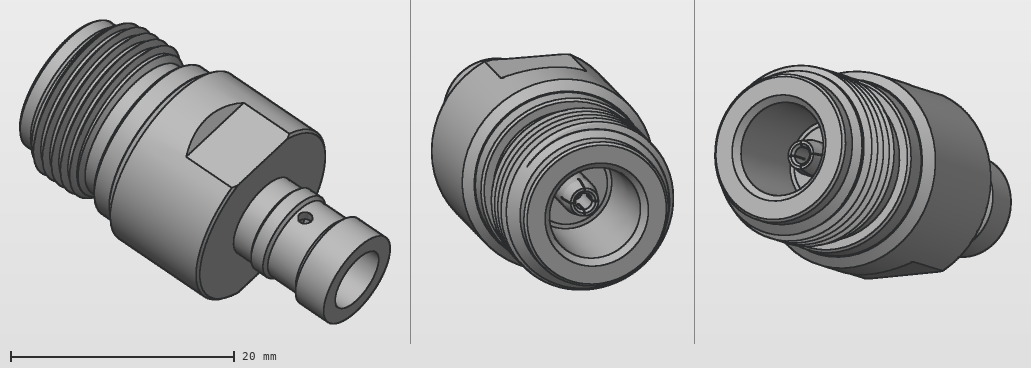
import cadquery as cq
import math


LENGTH = 34.05
PILOT_END = 1.45
THREAD_END = 8.0
FLANGE_START = 9.75
SHOULDER_START = 11.82
BODY_END = 23.0
RING_START = 25.07
RING_LAND_START = 25.3
RING_LAND_END = 26.7
RING_END = 27.0
COLLAR_RAMP_START = 30.28
COLLAR_START = 30.75

PILOT_R = 6.7
THREAD_ROOT_R = 7.32
THREAD_CREST_R = 7.95
NECK_R = 6.88
FLANGE_R = 7.95
SHOULDER_R = 8.05
BODY_R = 17.8 / 2
TAIL_R = 4.02
RING_R = 4.33
COLLAR_R = 4.6
EDGE_CHAMFER = 0.25

THREAD_PITCH = 1.05
THREAD_TURNS = 7
THREAD_TOP_CREST = 1.53
THREAD_START = THREAD_TOP_CREST - THREAD_PITCH / 2
FLANK_HALF_ANGLE = 30.0
RIDGE_EMBED = 0.15
ENVELOPE_CLEARANCE = 0.15

FLAT_HEIGHT = 7.97
FLAT_START = 17.4

MOUTH_R = 4.8
BORE_FRONT_R = 4.22
BORE_FLOOR_R = 3.95
MOUTH_DEPTH = MOUTH_R - BORE_FRONT_R
BORE_FLOOR = 9.03

REAR_BORE_R = 3.0
REAR_BORE_DEPTH = 8.5
SIDE_HOLE_R = 0.65
SIDE_HOLE_X = 28.0

INSULATOR_R = 3.55
INSULATOR_LENGTH = 6.8
INSULATOR_END = BORE_FLOOR + INSULATOR_LENGTH

CONTACT_R = 3.17 / 2
CONTACT_TIP_R = 1.3
CONTACT_TIP_X = 4.0
CONTACT_TAPER_END = 5.45
CONTACT_HOLE_R = 1.53 / 2
CONTACT_HOLE_MOUTH_R = 1.02
CONTACT_HOLE_CHAMFER = CONTACT_HOLE_MOUTH_R - CONTACT_HOLE_R
CONTACT_HOLE_DEPTH = 3.4
SLOT_WIDTH = 0.1
SLOT_DEPTH = 2.05


def revolve_about_x(points):
    """Solid of revolution about X from (x, radius) points."""
    return cq.Workplane("XZ").polyline(points).close().revolve(360, (0, 0, 0), (1, 0, 0))


def shell_blank():
    """Outer form of the shell, with a plain core where the thread goes."""
    return revolve_about_x([
        (0, 0),
        (0, PILOT_R - EDGE_CHAMFER),
        (EDGE_CHAMFER, PILOT_R),
        (THREAD_END, PILOT_R),
        (THREAD_END, NECK_R),
        (FLANGE_START, NECK_R),
        (FLANGE_START, FLANGE_R - EDGE_CHAMFER),
        (FLANGE_START + EDGE_CHAMFER, FLANGE_R),
        (SHOULDER_START, FLANGE_R),
        (SHOULDER_START, SHOULDER_R),
        (SHOULDER_START + BODY_R - SHOULDER_R, BODY_R),
        (BODY_END - EDGE_CHAMFER, BODY_R),
        (BODY_END, BODY_R - EDGE_CHAMFER),
        (BODY_END, TAIL_R),
        (RING_START, TAIL_R),
        (RING_LAND_START, RING_R),
        (RING_LAND_END, RING_R),
        (RING_END, TAIL_R),
        (COLLAR_RAMP_START, TAIL_R),
        (COLLAR_START, COLLAR_R),
        (LENGTH, COLLAR_R),
        (LENGTH, 0),
    ])


def threaded_section():
    """Root cylinder with a right-hand helical ridge, trimmed by 45 degree cones at both ends."""
    base_r = THREAD_ROOT_R - RIDGE_EMBED
    half_base = (THREAD_CREST_R - base_r) * math.tan(math.radians(FLANK_HALF_ANGLE))
    helix = cq.Wire.makeHelix(THREAD_PITCH, THREAD_PITCH * THREAD_TURNS, base_r)
    ridge = (
        cq.Workplane("XZ")
        .polyline([(base_r, -half_base), (THREAD_CREST_R, 0), (base_r, half_base)])
        .close()
        .sweep(cq.Workplane(obj=helix), isFrenet=True)
        .rotate((0, 0, 0), (0, 1, 0), 90)
        .translate((THREAD_START, 0, 0))
    )
    root = cq.Workplane("YZ").circle(THREAD_ROOT_R).extrude(FLANGE_START)
    envelope_r = THREAD_CREST_R + ENVELOPE_CLEARANCE
    envelope = revolve_about_x([
        (PILOT_END, 0),
        (PILOT_END, PILOT_R),
        (PILOT_END + envelope_r - PILOT_R, envelope_r),
        (THREAD_END - (envelope_r - NECK_R), envelope_r),
        (THREAD_END, NECK_R),
        (THREAD_END, 0),
    ])
    return root.union(ridge).intersect(envelope)


def flat_cutter():
    """Material above the upper wrench flat, including its 45 degree run-out."""
    rise = BODY_R - FLAT_HEIGHT
    return (
        cq.Workplane("XZ")
        .polyline([
            (FLAT_START, FLAT_HEIGHT),
            (BODY_END, FLAT_HEIGHT),
            (BODY_END, BODY_R),
            (FLAT_START - rise, BODY_R),
        ])
        .close()
        .extrude(BODY_R, both=True)
    )


def front_socket():
    """Chamfered, slightly tapered bore and the insulator seat behind it."""
    return revolve_about_x([
        (0, 0),
        (0, MOUTH_R),
        (MOUTH_DEPTH, BORE_FRONT_R),
        (BORE_FLOOR, BORE_FLOOR_R),
        (BORE_FLOOR, INSULATOR_R),
        (INSULATOR_END, INSULATOR_R),
        (INSULATOR_END, 0),
    ])


def rear_socket():
    """Plain blind bore from the back end of the tail."""
    return cq.Workplane("YZ", origin=(LENGTH, 0, 0)).circle(REAR_BORE_R).extrude(-REAR_BORE_DEPTH)


def side_hole():
    """Radial hole through the upper wall of the tail into the rear socket."""
    return cq.Workplane("XY").center(SIDE_HOLE_X, 0).circle(SIDE_HOLE_R).extrude(COLLAR_R)


def make_shell():
    upper_flat = flat_cutter()
    return (
        shell_blank()
        .union(threaded_section())
        .cut(upper_flat)
        .cut(upper_flat.mirror("XY"))
        .cut(front_socket())
        .cut(rear_socket())
        .cut(side_hole())
    )


def make_insulator():
    """Bead that fills the seat behind the front bore, flush with the bore floor."""
    return (
        cq.Workplane("YZ", origin=(BORE_FLOOR, 0, 0))
        .circle(INSULATOR_R)
        .circle(CONTACT_R)
        .extrude(INSULATOR_LENGTH)
    )


def make_contact():
    """Tapered socket contact with a chamfered hole and four slotted fingers."""
    contact = revolve_about_x([
        (CONTACT_TIP_X + CONTACT_HOLE_DEPTH, 0),
        (CONTACT_TIP_X + CONTACT_HOLE_DEPTH, CONTACT_HOLE_R),
        (CONTACT_TIP_X + CONTACT_HOLE_CHAMFER, CONTACT_HOLE_R),
        (CONTACT_TIP_X, CONTACT_HOLE_MOUTH_R),
        (CONTACT_TIP_X, CONTACT_TIP_R),
        (CONTACT_TAPER_END, CONTACT_R),
        (INSULATOR_END, CONTACT_R),
        (INSULATOR_END, 0),
    ])
    slot = cq.Workplane("XY").box(SLOT_DEPTH, SLOT_WIDTH, 2 * CONTACT_R, centered=(False, True, True))
    for angle in (0, 90):
        contact = contact.cut(slot.rotate((0, 0, 0), (1, 0, 0), angle).translate((CONTACT_TIP_X, 0, 0)))
    return contact


shell = make_shell()
insulator = make_insulator()
contact = make_contact()

result = cq.Compound.makeCompound([shell.val(), insulator.val(), contact.val()])